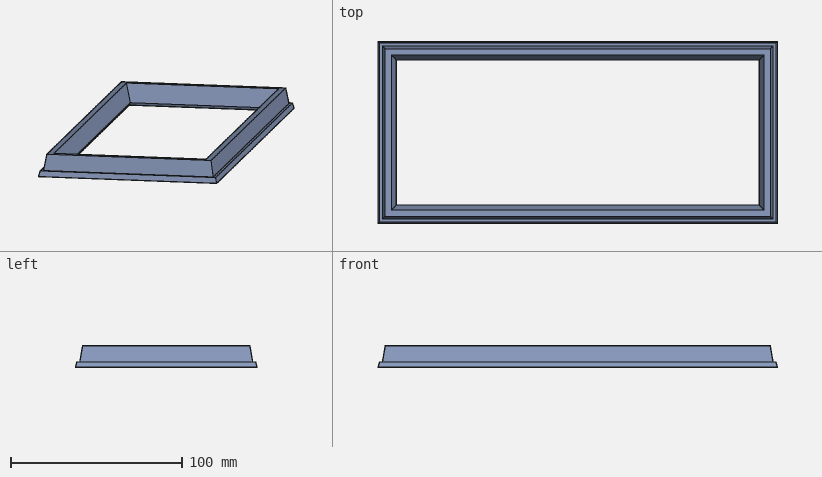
import cadquery as cq

length = 233.07
width = 106.1
height = 12.7

flange_height = 3.3
throat_height = 1.7

flange_top_inset = 0.87
wall_foot_inset = 2.55
wall_top_inset = 4.2
opening_top_inset = 7.85
throat_inset = 10.8
opening_base_inset = 10.0


def tapered_block(base_inset, base_z, top_inset, top_z):
    """Rectangular block whose four sides lean evenly from base to top."""
    return (
        cq.Workplane("XY", origin=(0, 0, base_z))
        .rect(length - 2 * base_inset, width - 2 * base_inset)
        .workplane(offset=top_z - base_z)
        .rect(length - 2 * top_inset, width - 2 * top_inset)
        .loft(ruled=True)
    )


flange = tapered_block(0, 0, flange_top_inset, flange_height)

wall = tapered_block(wall_foot_inset, flange_height, wall_top_inset, height)

lower_opening = tapered_block(opening_base_inset, 0, throat_inset, throat_height)
upper_opening = tapered_block(throat_inset, throat_height, opening_top_inset, height)

result = flange.union(wall).cut(lower_opening).cut(upper_opening)